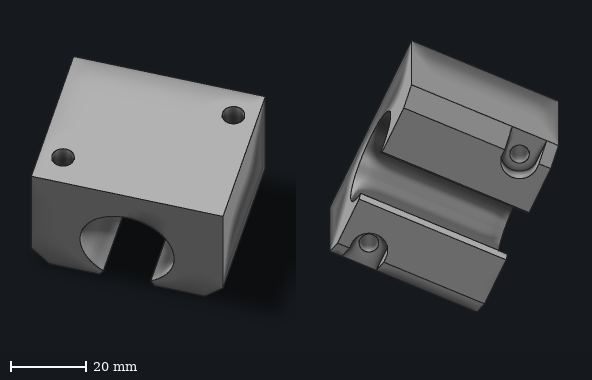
import cadquery as cq
import math

LENGTH_X = 53.0
WIDTH_Y = 43.0
HEIGHT_Z = 35.0
CORNER_CHAMFER = 5.0

BORE_DIAMETER = 26.0
BORE_CENTER_Z = 13.0
MOUTH_HALF_ANGLE = 30.0

HOLE_OFFSET_X = 20.0
HOLE_OFFSET_Y = 13.0
HOLE_DIAMETER = 5.2
ENTRY_DIAMETER = 6.0
ENTRY_DEPTH = 15.0

RECESS_WIDTH = 10.0
RECESS_DEPTH = CORNER_CHAMFER


def make_block():
    """Block on Z = 0 with chamfered lower edges along Y."""
    block = cq.Workplane("XY").box(LENGTH_X, WIDTH_Y, HEIGHT_Z, centered=(True, True, False))
    return block.faces("<Z").edges("|Y").chamfer(CORNER_CHAMFER)


def make_bore():
    """Cylinder along Y plus a wedge with radial walls down to the underside."""
    front = cq.Workplane("XZ", origin=(0, -WIDTH_Y / 2, 0))
    cylinder = front.center(0, BORE_CENTER_Z).circle(BORE_DIAMETER / 2).extrude(-WIDTH_Y)
    mouth_half_width = BORE_CENTER_Z * math.tan(math.radians(MOUTH_HALF_ANGLE))
    wedge_points = [(0, BORE_CENTER_Z), (mouth_half_width, 0), (-mouth_half_width, 0)]
    wedge = front.polyline(wedge_points).close().extrude(-WIDTH_Y)
    return cylinder.union(wedge)


def make_mounting_hole(side):
    """Stepped through hole and its recess; side is -1 at -X, -Y and +1 at +X, +Y."""
    x = side * HOLE_OFFSET_X
    y = side * HOLE_OFFSET_Y
    base = cq.Workplane("XY", origin=(x, y, 0))
    through = base.circle(HOLE_DIAMETER / 2).extrude(HEIGHT_Z)
    entry = base.workplane(offset=HEIGHT_Z).circle(ENTRY_DIAMETER / 2).extrude(-ENTRY_DEPTH)
    round_end = base.circle(RECESS_WIDTH / 2).extrude(RECESS_DEPTH)
    reach_to_side = LENGTH_X / 2 - HOLE_OFFSET_X
    channel = (
        base.center(side * reach_to_side / 2, 0)
        .rect(reach_to_side, RECESS_WIDTH)
        .extrude(RECESS_DEPTH)
    )
    return through.union(entry).union(round_end).union(channel)


result = make_block().cut(make_bore())
for hole_side in (-1, 1):
    result = result.cut(make_mounting_hole(hole_side))